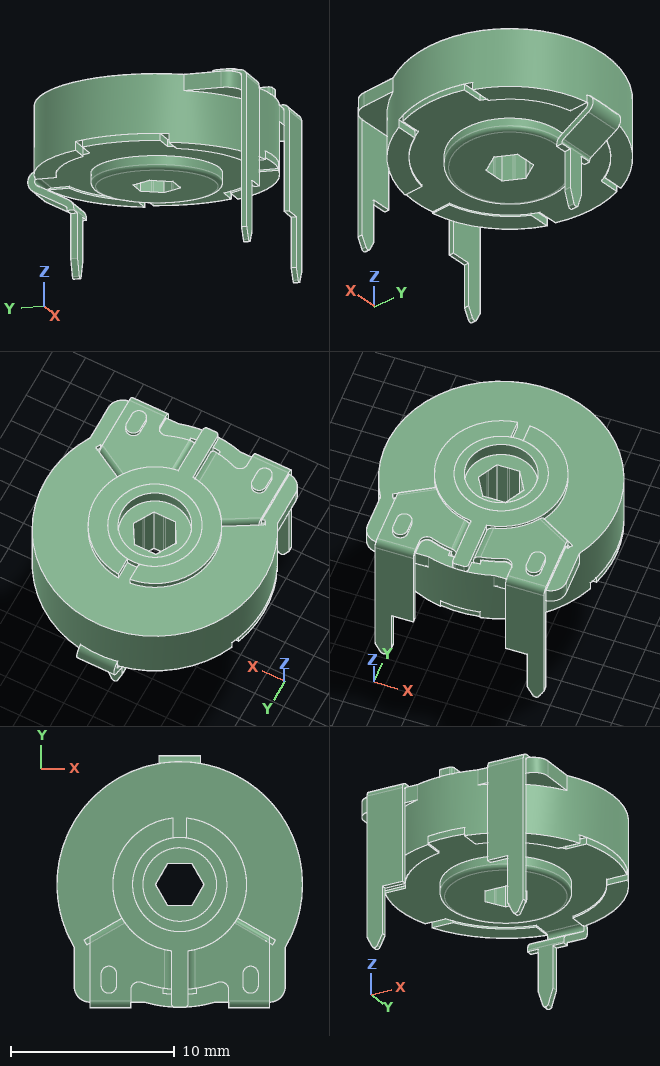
import cadquery as cq
import math


DISC_R = 7.5
DISC_H = 4.35
COLLAR_R = 4.08
COLLAR_H = 0.48
COLLAR_SLOT_W = 0.8
RIB_W = 1.02
RIB_CORNER_R = 0.22
FLANGE_W = 12.9
FLANGE_H = 1.03
FLANGE_FRONT_Y = -7.19
FLANGE_CORNER_R = 1.0
RIVET_X = 4.33
RIVET_Y = -5.8
RIVET_W = 0.94
RIVET_LENGTH = 1.65
RIVET_TOP_Z = 0.6

ROTOR_R = 2.88
BORE_R = 2.25
BORE_DEPTH = 1.0
HEX_FLATS = 2.55
HEX_GROOVE_W = 0.12
BOSS_R = 4.02
BOSS_BOTTOM_Z = -5.08
BOSS_FILLET_R = 0.28

SHOULDER_Z = -6.48
PIN_TIP_Z = -10.5
TIP_HALF_W = 0.18
TIP_ROUND_H = 0.11

TRACK_SHEET = 0.34
TRACK_TOP_Z = 0.28
TRACK_BOTTOM_Z = TRACK_TOP_Z - TRACK_SHEET
BLADE_INNER_X = 2.99
BLADE_OUTER_X = 5.48
TRACK_PIN_W = 1.1
TRACK_PIN_TAPER_Z = -9.69
FOLD_R = 0.42
RIB_LIP_R = 0.43
SIDE_LIP_R = 0.34
LIP_BOTTOM_Z = TRACK_TOP_Z - 2 * TRACK_SHEET
SIDE_CORNER_Y = -3.57
SIDE_EDGE_ANGLE = 30
CUTOUT_R = 6.4
CUTOUT_FILLET_R = 0.5
LIP_POCKET_GAP = 0.31
SIDE_POCKET_OVERRUN = 0.22
RIB_POCKET_OUTER_X = 1.02

WIPER_SHEET = 0.45
WIPER_TOP_Z = -3.79
WIPER_BOTTOM_Z = WIPER_TOP_Z - WIPER_SHEET
WIPER_DISC_R = 6.16
SIDE_ARM_W = 4.99
SIDE_NOTCH_W = 5.98
LEAD_W = 2.55
LEAD_REAR_Y = 7.87
LEAD_PIN_FRONT_Y = 4.91
LEAD_UPPER_BEND_R = 0.71
LEAD_LOWER_BEND_R = 0.65
LEAD_SLOPE_ANGLE = 28
WIPER_PIN_W = 1.05
WIPER_PIN_TAPER_Z = -9.35

SIDES = (-1, 1)
RIB_LIP_X = RIB_W / 2 + RIB_LIP_R
BLADE_FRONT_Y = FLANGE_FRONT_Y - TRACK_SHEET


def cylinder(radius, bottom_z, top_z):
    return cq.Workplane("XY").workplane(offset=bottom_z).circle(radius).extrude(top_z - bottom_z)


def block(x_range, y_range, z_range):
    """Axis-aligned box from three (low, high) ranges."""
    size = [high - low for low, high in (x_range, y_range, z_range)]
    corner = (x_range[0], y_range[0], z_range[0])
    return cq.Workplane("XY").box(*size, centered=False).translate(corner)


def pin_end(outline, x_first, x_last, taper_z):
    """Continue an XZ outline down one side of a pin, round its tip and up the other side."""
    middle_x = (x_first + x_last) / 2
    tip_dx = math.copysign(TIP_HALF_W, x_first - middle_x)
    round_z = PIN_TIP_Z + TIP_ROUND_H
    return (
        outline.lineTo(x_first, taper_z)
        .lineTo(middle_x + tip_dx, round_z)
        .threePointArc((middle_x, PIN_TIP_Z), (middle_x - tip_dx, round_z))
        .lineTo(x_last, taper_z)
    )


def rivet(side, bottom_z):
    """Oblong heat-staked post that holds a track terminal down."""
    return (
        cq.Workplane("XY", origin=(side * RIVET_X, RIVET_Y, bottom_z))
        .slot2D(RIVET_LENGTH, RIVET_W, 90)
        .extrude(RIVET_TOP_Z - bottom_z)
    )



def side_edge_plane():
    """Plane across the slanted side edge at its outer corner: x outward, y up, normal along it."""
    angle = math.radians(SIDE_EDGE_ANGLE)
    return cq.Plane(
        origin=(BLADE_OUTER_X, SIDE_CORNER_Y, 0),
        xDir=(math.sin(angle), math.cos(angle), 0),
        normal=(math.cos(angle), -math.sin(angle), 0),
    )


def rib_edge_plane():
    """Plane across the edge beside the rib: x toward the rib, y up, normal toward +Y."""
    return cq.Plane(origin=(RIB_LIP_X, 0, 0), xDir=(-1, 0, 0), normal=(0, 1, 0))


def lip(plane, radius, start, end):
    """Sheet edge rolled down into the housing, running from start to end along the plane normal."""
    diagonal = radius * math.sqrt(0.5)
    roll_z = TRACK_TOP_Z - radius
    return (
        cq.Workplane(plane)
        .workplane(offset=start)
        .moveTo(0, TRACK_TOP_Z)
        .threePointArc((diagonal, roll_z + diagonal), (radius, roll_z))
        .lineTo(radius, LIP_BOTTOM_Z)
        .lineTo(0, LIP_BOTTOM_Z)
        .close()
        .extrude(end - start)
    )


def side_edge_length():
    return (BLADE_OUTER_X - RIB_LIP_X) / math.cos(math.radians(SIDE_EDGE_ANGLE))


def track_cutout():
    """Clearance at the front edge between the blade and the rib, outside a circular arc."""
    corner_y = -math.sqrt(CUTOUT_R**2 - BLADE_INNER_X**2)
    below, above = LIP_BOTTOM_Z, TRACK_TOP_Z
    region = block((0, BLADE_INNER_X), (2 * FLANGE_FRONT_Y, 0), (below, above))
    region = region.cut(cylinder(CUTOUT_R, below, above))
    corner = cq.selectors.NearestToPointSelector((BLADE_INNER_X, corner_y, (below + above) / 2))
    return region.edges("|Z").edges(corner).fillet(CUTOUT_FILLET_R)


def flat_sheet():
    """Flat part of the terminal before it is trimmed to the collar and the cutout."""
    inner_y = SIDE_CORNER_Y + side_edge_length() * math.sin(math.radians(SIDE_EDGE_ANGLE))
    return (
        cq.Workplane("XY", origin=(0, 0, TRACK_BOTTOM_Z))
        .polyline([
            (RIB_LIP_X, FLANGE_FRONT_Y),
            (BLADE_OUTER_X, FLANGE_FRONT_Y),
            (BLADE_OUTER_X, SIDE_CORNER_Y),
            (RIB_LIP_X, inner_y),
        ])
        .close()
        .extrude(TRACK_SHEET)
    )


def trim_sheet(sheet):
    """Trim a sheet to the collar and to the cutout at the front edge."""
    return sheet.cut(track_cutout()).cut(cylinder(COLLAR_R, LIP_BOTTOM_Z, TRACK_TOP_Z))


def track_sheet():
    """Flat part lying on the housing, with its two rolled lips."""
    side_lip = lip(side_edge_plane(), SIDE_LIP_R, -side_edge_length(), SIDE_LIP_R)
    rib_lip = lip(rib_edge_plane(), RIB_LIP_R, FLANGE_FRONT_Y, 0)
    beyond_side = block(
        (BLADE_OUTER_X, FLANGE_W), (FLANGE_FRONT_Y, 0), (LIP_BOTTOM_Z, TRACK_TOP_Z)
    )
    return trim_sheet(flat_sheet().union(side_lip).union(rib_lip).cut(beyond_side))


def track_blade():
    """Upright part in front of the housing, narrowing to the pin."""
    outline = (
        cq.Workplane("XZ", origin=(0, FLANGE_FRONT_Y, 0))
        .moveTo(BLADE_INNER_X, TRACK_TOP_Z)
        .lineTo(BLADE_OUTER_X, TRACK_TOP_Z)
    )
    pin_inner_x = BLADE_OUTER_X - TRACK_PIN_W
    return (
        pin_end(outline, BLADE_OUTER_X, pin_inner_x, TRACK_PIN_TAPER_Z)
        .lineTo(pin_inner_x, SHOULDER_Z)
        .lineTo(BLADE_INNER_X, SHOULDER_Z)
        .close()
        .extrude(TRACK_SHEET)
    )


def track_terminal(side):
    """Track terminal on the +X side, or its mirror image for side = -1."""
    terminal = track_sheet().union(track_blade())
    blade_middle_x = (BLADE_INNER_X + BLADE_OUTER_X) / 2
    fold = cq.selectors.NearestToPointSelector((blade_middle_x, BLADE_FRONT_Y, TRACK_TOP_Z))
    terminal = terminal.edges(fold).fillet(FOLD_R)
    terminal = terminal.cut(rivet(1, LIP_BOTTOM_Z))
    return terminal if side > 0 else terminal.mirror("YZ")



def arm(width, z_range, rear_y=DISC_R):
    """Bar along Y of the given width, from the front of the disc to the rear or to rear_y."""
    return block((-width / 2, width / 2), (-DISC_R, rear_y), z_range)


def wiper_plate():
    """Ring around the boss with arms to the left, right and front."""
    z_range = (WIPER_BOTTOM_Z, WIPER_TOP_Z)
    side_arms = arm(SIDE_ARM_W, z_range).rotate((0, 0, 0), (0, 0, 1), 90)
    arms = arm(LEAD_W, z_range, rear_y=0).union(side_arms).intersect(cylinder(DISC_R, *z_range))
    return cylinder(WIPER_DISC_R, *z_range).union(arms).cut(cylinder(BOSS_R, *z_range))


def wiper_lead():
    """Rear strip: bent down and back under the housing, then straight down as a pin."""
    upper_outer_r = LEAD_UPPER_BEND_R
    upper_inner_r = upper_outer_r - WIPER_SHEET
    lower_outer_r = LEAD_LOWER_BEND_R
    lower_inner_r = lower_outer_r - WIPER_SHEET
    slope = math.radians(LEAD_SLOPE_ANGLE)
    sin_slope, cos_slope = math.sin(slope), math.cos(slope)

    upper_y = LEAD_REAR_Y - upper_outer_r
    upper_z = WIPER_TOP_Z - upper_outer_r
    lower_y = LEAD_PIN_FRONT_Y + lower_outer_r
    drop = (upper_inner_r + lower_outer_r + (upper_y - lower_y) * sin_slope) / cos_slope
    lower_z = upper_z - drop

    def upper_end(radius):
        return upper_y + radius * sin_slope, upper_z - radius * cos_slope

    def lower_start(radius):
        return lower_y - radius * sin_slope, lower_z + radius * cos_slope

    half_turn = (math.pi / 2 - slope) / 2

    def lower_middle(radius):
        return lower_y - radius * math.cos(half_turn), lower_z + radius * math.sin(half_turn)

    strip = (
        cq.Workplane("YZ", origin=(-LEAD_W / 2, 0, 0))
        .moveTo(BOSS_R + WIPER_SHEET, WIPER_TOP_Z)
        .lineTo(upper_y, WIPER_TOP_Z)
        .threePointArc((upper_y + upper_outer_r, upper_z), upper_end(upper_outer_r))
        .lineTo(*lower_start(lower_inner_r))
        .threePointArc(lower_middle(lower_inner_r), (lower_y - lower_inner_r, lower_z))
        .lineTo(lower_y - lower_inner_r, PIN_TIP_Z)
        .lineTo(LEAD_PIN_FRONT_Y, PIN_TIP_Z)
        .lineTo(LEAD_PIN_FRONT_Y, lower_z)
        .threePointArc(lower_middle(lower_outer_r), lower_start(lower_outer_r))
        .lineTo(*upper_end(upper_inner_r))
        .threePointArc((upper_y + upper_inner_r, upper_z), (upper_y, WIPER_BOTTOM_Z))
        .lineTo(BOSS_R + WIPER_SHEET, WIPER_BOTTOM_Z)
        .close()
        .extrude(LEAD_W)
    )
    pin_x = WIPER_PIN_W / 2
    outline = (
        cq.Workplane("XZ")
        .moveTo(-LEAD_W / 2, 0)
        .lineTo(LEAD_W / 2, 0)
        .lineTo(LEAD_W / 2, SHOULDER_Z)
        .lineTo(pin_x, SHOULDER_Z)
    )
    silhouette = (
        pin_end(outline, pin_x, -pin_x, WIPER_PIN_TAPER_Z)
        .lineTo(-pin_x, SHOULDER_Z)
        .lineTo(-LEAD_W / 2, SHOULDER_Z)
        .close()
        .extrude(-LEAD_REAR_Y)
    )
    return strip.intersect(silhouette)


def make_wiper_terminal():
    return wiper_plate().union(wiper_lead())



def make_rotor():
    """Shaft through the housing with a wide boss below, a bore above and a hex through hole."""
    boss = cylinder(BOSS_R, BOSS_BOTTOM_Z, WIPER_TOP_Z).faces("<Z").edges().fillet(BOSS_FILLET_R)
    shaft = cylinder(ROTOR_R, WIPER_TOP_Z, COLLAR_H)
    bore = cylinder(BORE_R, COLLAR_H - BORE_DEPTH, COLLAR_H)
    hex_corners = HEX_FLATS / math.cos(math.pi / 6)
    hex_hole = (
        cq.Workplane("XY", origin=(0, 0, BOSS_BOTTOM_Z))
        .polygon(6, hex_corners)
        .extrude(COLLAR_H - BOSS_BOTTOM_Z)
    )
    groove_r = math.hypot(HEX_FLATS / 2, HEX_GROOVE_W / 2)
    hex_hole = hex_hole.union(cylinder(groove_r, BOSS_BOTTOM_Z, COLLAR_H))
    return boss.union(shaft).cut(bore).cut(hex_hole)



def flange():
    """Square front shelf, flush with the top of the disc, that carries the terminals."""
    shelf = block((-FLANGE_W / 2, FLANGE_W / 2), (FLANGE_FRONT_Y, 0), (-FLANGE_H, 0))
    shelf = shelf.edges("|Z and <Y").fillet(FLANGE_CORNER_R)
    side_y = -math.sqrt(DISC_R**2 - (FLANGE_W / 2) ** 2)
    return shelf.cut(block((-FLANGE_W, FLANGE_W), (side_y, DISC_R), (-FLANGE_H, 0)))


def collar():
    """Slotted ring around the rotor with a rib running to the front."""
    ring = cylinder(COLLAR_R, 0, COLLAR_H)
    ring = ring.cut(block((-COLLAR_SLOT_W / 2, COLLAR_SLOT_W / 2), (0, COLLAR_R), (0, COLLAR_H)))
    rib = block((-RIB_W / 2, RIB_W / 2), (-DISC_R, -ROTOR_R), (0, COLLAR_H))
    return ring.union(rib.edges("|Z and <Y").fillet(RIB_CORNER_R))


def wiper_recess():
    """Seat for the wiper plate in the underside, with notches through the wall for its arms."""
    z_range = (-DISC_H, WIPER_TOP_Z)
    side_notches = arm(SIDE_NOTCH_W, z_range).rotate((0, 0, 0), (0, 0, 1), 90)
    return cylinder(WIPER_DISC_R, *z_range).union(arm(LEAD_W, z_range)).union(side_notches)


def track_seat(side):
    """Recess for the flat of one track terminal, with slots a little longer than its lips."""
    depth = -LIP_BOTTOM_Z
    length = side_edge_length()
    side_pocket = (
        cq.Workplane(side_edge_plane())
        .workplane(offset=-length)
        .center(SIDE_LIP_R / 2, -depth / 2)
        .rect(SIDE_LIP_R, depth)
        .extrude(length + SIDE_POCKET_OVERRUN)
    )
    rib_pocket = block((RIB_W / 2, RIB_POCKET_OUTER_X), (-DISC_R, 0), (LIP_BOTTOM_Z, 0))
    rib_pocket = rib_pocket.intersect(cylinder(CUTOUT_R + LIP_POCKET_GAP, LIP_BOTTOM_Z, 0))
    pockets = side_pocket.union(rib_pocket).cut(cylinder(COLLAR_R, LIP_BOTTOM_Z, 0))
    seat = trim_sheet(flat_sheet()).union(pockets)
    return seat if side > 0 else seat.mirror("YZ")


def make_housing():
    body = cylinder(DISC_R, -DISC_H, 0).union(flange()).union(collar())
    body = body.cut(wiper_recess()).cut(cylinder(ROTOR_R, WIPER_TOP_Z, COLLAR_H))
    for side in SIDES:
        body = body.cut(track_seat(side)).union(rivet(side, LIP_BOTTOM_Z))
    return body


track_terminals = [track_terminal(side) for side in SIDES]
wiper_terminal = make_wiper_terminal()
rotor = make_rotor()
housing = make_housing()

result = cq.Compound.makeCompound([
    housing.solids().val(),
    rotor.solids().val(),
    wiper_terminal.solids().val(),
    *[terminal.solids().val() for terminal in track_terminals],
])